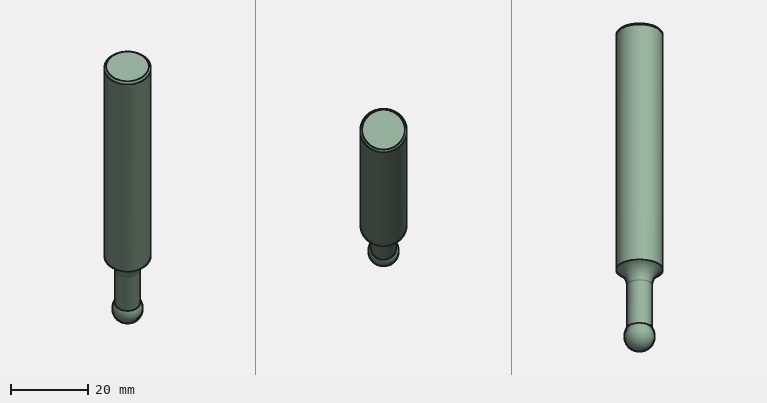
import cadquery as cq
import math

total_length = 92.0
shank_radius = 12.1 / 2
neck_radius = 6.6 / 2
ball_diameter = 8.0
ball_radius = ball_diameter / 2
chamfer_width = 0.55
chamfer_height = 0.6

fillet_top_z = 23.3
fillet_radius = 5.0
fillet_width = shank_radius - neck_radius
fillet_sweep = math.acos(1 - fillet_width / fillet_radius)
fillet_bottom_z = fillet_top_z - fillet_radius * math.sin(fillet_sweep)
fillet_mid_r = neck_radius + fillet_radius * (1 - math.cos(fillet_sweep / 2))
fillet_mid_z = fillet_bottom_z + fillet_radius * math.sin(fillet_sweep / 2)

seat_rim_z = ball_radius + math.sqrt(ball_radius**2 - neck_radius**2)
seat_mid_angle = math.asin(neck_radius / ball_radius) / 2
seat_mid_r = ball_radius * math.sin(seat_mid_angle)
seat_mid_z = ball_radius * (1 + math.cos(seat_mid_angle))


def make_shank():
    """Chamfered shank with a filleted neck whose end is hollowed to fit the ball."""
    return (
        cq.Workplane("XZ")
        .moveTo(0, ball_diameter)
        .threePointArc((seat_mid_r, seat_mid_z), (neck_radius, seat_rim_z))
        .lineTo(neck_radius, fillet_bottom_z)
        .threePointArc((fillet_mid_r, fillet_mid_z), (shank_radius, fillet_top_z))
        .lineTo(shank_radius, total_length - chamfer_height)
        .lineTo(shank_radius - chamfer_width, total_length)
        .lineTo(0, total_length)
        .close()
        .revolve(360, (0, 0, 0), (0, 1, 0))
    )


def make_ball():
    """Full sphere at the lower end of the neck."""
    return cq.Workplane("XY").sphere(ball_radius).translate((0, 0, ball_radius))


shank = make_shank()
ball = make_ball()

result = cq.Compound.makeCompound([shank.val(), ball.val()])